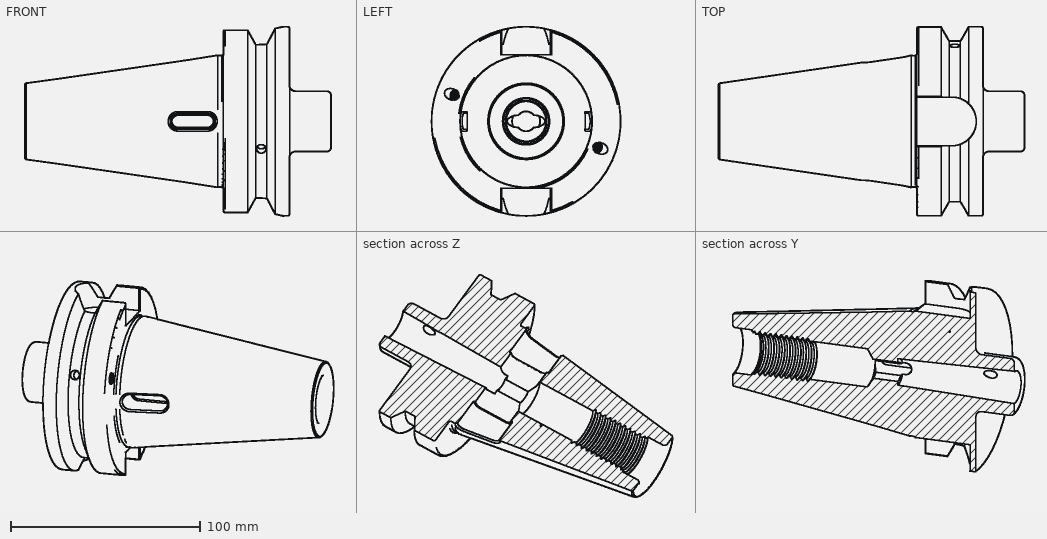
import cadquery as cq
import math


TOTAL_LENGTH = 161.8
TAPER_LENGTH = 101.8
TAPER_RATIO = 7 / 24
TAPER_BIG_RADIUS = 35.0
TAPER_SMALL_RADIUS = TAPER_BIG_RADIUS - TAPER_LENGTH * TAPER_RATIO / 2
SMALL_END_CHAMFER = 0.6
NECK_RADIUS = 34.8
NECK_CHAMFER_LENGTH = 1.0
NECK_FILLET = 1.0

FLANGE_START = 104.8
FLANGE_END = 139.8
FLANGE_RADIUS = 50.0
FLANGE_EDGE_FILLET = 1.0
GROOVE_CENTER = 124.9
GROOVE_BOTTOM_RADIUS = 42.5
GROOVE_TOP_HALF_WIDTH = 7.3
GROOVE_SIDE_ANGLE = 30
GROOVE_BOTTOM_HALF_WIDTH = GROOVE_TOP_HALF_WIDTH - (
    (FLANGE_RADIUS - GROOVE_BOTTOM_RADIUS) * math.tan(math.radians(GROOVE_SIDE_ANGLE))
)

NOSE_RADIUS = 16.0
NOSE_ROOT_FILLET = 3.0
NOSE_END_FILLET = 2.5

KEYWAY_WIDTH = 25.7
KEYWAY_FLOOR = 35.3
KEYWAY_END = 136.2
KEYWAY_EDGE_CHAMFER = 0.6

PILOT_RADIUS = 12.5
PILOT_DEPTH = 11.0
PILOT_MOUTH_FILLET = 2.0
THREAD_MAJOR_RADIUS = 12.0
THREAD_MINOR_RADIUS = 10.5
THREAD_PITCH = 3.0
THREAD_END = 45.0
THREAD_BORE_DEPTH = 77.3
LINK_HOLE_RADIUS = 5.2

SOCKET_MOUTH_RADIUS = 8.9
SOCKET_DEPTH = 67.0
SOCKET_TAPER_RATIO = 1 / 20
SOCKET_BOTTOM_RADIUS = SOCKET_MOUTH_RADIUS - SOCKET_DEPTH * SOCKET_TAPER_RATIO / 2

SLOT_START = 77.7
SLOT_END = 99.7
SLOT_WIDTH = 6.5
SLOT_RECESS_MARGIN = 1.0
SLOT_RECESS_FLOOR = 17.8
SLOT_EDGE_CHAMFER = 1.0

COOLANT_AZIMUTH = 20
COOLANT_INLET_RADIUS = 41.9
COOLANT_TILT = 40
COOLANT_ENTRY_RADIUS = 2.9
COOLANT_ENTRY_DEPTH = 2.6
COOLANT_THREAD_MINOR_RADIUS = 2.5
COOLANT_THREAD_PITCH = 1.0
COOLANT_THREAD_END = 13.0

GROOVE_HOLE_RADIUS = 2.5
GROOVE_HOLE_DEPTH = 6.6

DRILL_TIP_ANGLE = 118
THREAD_ANGLE = 60

CLEARANCE = 8.1


def revolve_about_x(profile):
    return profile.close().revolve(360, (0, 0, 0), (1, 0, 0))


def turned_body():
    arc = math.sqrt(0.5)
    nose_root_mid = NOSE_ROOT_FILLET * (1 - arc)
    nose_end_mid = NOSE_END_FILLET * (1 - arc)
    flange_edge_mid = FLANGE_EDGE_FILLET * (1 - arc)
    neck_mid = NECK_FILLET * (1 - arc)
    profile = (
        cq.Workplane("XY")
        .lineTo(0, TAPER_SMALL_RADIUS - SMALL_END_CHAMFER)
        .lineTo(SMALL_END_CHAMFER, TAPER_SMALL_RADIUS + SMALL_END_CHAMFER * TAPER_RATIO / 2)
        .lineTo(TAPER_LENGTH, TAPER_BIG_RADIUS)
        .lineTo(TAPER_LENGTH + NECK_CHAMFER_LENGTH, NECK_RADIUS)
        .lineTo(FLANGE_START - NECK_FILLET, NECK_RADIUS)
        .threePointArc(
            (FLANGE_START - neck_mid, NECK_RADIUS + neck_mid),
            (FLANGE_START, NECK_RADIUS + NECK_FILLET),
        )
        .lineTo(FLANGE_START, FLANGE_RADIUS - FLANGE_EDGE_FILLET)
        .threePointArc(
            (FLANGE_START + flange_edge_mid, FLANGE_RADIUS - flange_edge_mid),
            (FLANGE_START + FLANGE_EDGE_FILLET, FLANGE_RADIUS),
        )
        .lineTo(GROOVE_CENTER - GROOVE_TOP_HALF_WIDTH, FLANGE_RADIUS)
        .lineTo(GROOVE_CENTER - GROOVE_BOTTOM_HALF_WIDTH, GROOVE_BOTTOM_RADIUS)
        .lineTo(GROOVE_CENTER + GROOVE_BOTTOM_HALF_WIDTH, GROOVE_BOTTOM_RADIUS)
        .lineTo(GROOVE_CENTER + GROOVE_TOP_HALF_WIDTH, FLANGE_RADIUS)
        .lineTo(FLANGE_END - FLANGE_EDGE_FILLET, FLANGE_RADIUS)
        .threePointArc(
            (FLANGE_END - flange_edge_mid, FLANGE_RADIUS - flange_edge_mid),
            (FLANGE_END, FLANGE_RADIUS - FLANGE_EDGE_FILLET),
        )
        .lineTo(FLANGE_END, NOSE_RADIUS + NOSE_ROOT_FILLET)
        .threePointArc(
            (FLANGE_END + nose_root_mid, NOSE_RADIUS + nose_root_mid),
            (FLANGE_END + NOSE_ROOT_FILLET, NOSE_RADIUS),
        )
        .lineTo(TOTAL_LENGTH - NOSE_END_FILLET, NOSE_RADIUS)
        .threePointArc(
            (TOTAL_LENGTH - nose_end_mid, NOSE_RADIUS - nose_end_mid),
            (TOTAL_LENGTH, NOSE_RADIUS - NOSE_END_FILLET),
        )
        .lineTo(TOTAL_LENGTH, 0)
    )
    return revolve_about_x(profile)


def axial_bores():
    mouth_mid = PILOT_MOUTH_FILLET * (1 - math.sqrt(0.5))
    tip_slope = math.tan(math.radians(DRILL_TIP_ANGLE / 2))
    tip_end = THREAD_BORE_DEPTH + (THREAD_MINOR_RADIUS - LINK_HOLE_RADIUS) / tip_slope
    profile = (
        cq.Workplane("XY")
        .lineTo(0, PILOT_RADIUS + PILOT_MOUTH_FILLET)
        .threePointArc((mouth_mid, PILOT_RADIUS + mouth_mid), (PILOT_MOUTH_FILLET, PILOT_RADIUS))
        .lineTo(PILOT_DEPTH, PILOT_RADIUS)
        .lineTo(PILOT_DEPTH, THREAD_MAJOR_RADIUS)
        .lineTo(PILOT_DEPTH + THREAD_MAJOR_RADIUS - THREAD_MINOR_RADIUS, THREAD_MINOR_RADIUS)
        .lineTo(THREAD_BORE_DEPTH, THREAD_MINOR_RADIUS)
        .lineTo(tip_end, LINK_HOLE_RADIUS)
        .lineTo(TOTAL_LENGTH - SOCKET_DEPTH, LINK_HOLE_RADIUS)
        .lineTo(TOTAL_LENGTH - SOCKET_DEPTH, SOCKET_BOTTOM_RADIUS)
        .lineTo(TOTAL_LENGTH, SOCKET_MOUTH_RADIUS)
        .lineTo(TOTAL_LENGTH, 0)
    )
    return revolve_about_x(profile)


def keyway(side):
    """Round-ended keyway, open at the taper side of the flange; side is +1 or -1 along Z."""
    half_width = KEYWAY_WIDTH / 2
    depth = FLANGE_RADIUS + CLEARANCE - KEYWAY_FLOOR
    start = FLANGE_START - CLEARANCE
    floor = cq.Workplane("XY").workplane(offset=side * KEYWAY_FLOOR)
    channel = (
        floor.moveTo(start, -half_width)
        .lineTo(KEYWAY_END - half_width, -half_width)
        .threePointArc((KEYWAY_END, 0), (KEYWAY_END - half_width, half_width))
        .lineTo(start, half_width)
        .close()
        .extrude(side * depth)
    )
    wide = half_width + KEYWAY_EDGE_CHAMFER
    mouth_bevel = (
        floor.moveTo(FLANGE_START, -wide)
        .lineTo(FLANGE_START + KEYWAY_EDGE_CHAMFER, -half_width)
        .lineTo(FLANGE_START + KEYWAY_EDGE_CHAMFER, half_width)
        .lineTo(FLANGE_START, wide)
        .close()
        .extrude(side * depth)
    )
    corner_height = math.sqrt(FLANGE_RADIUS**2 - half_width**2)
    bevel_bottom = side * (corner_height - KEYWAY_EDGE_CHAMFER)
    bevel_top = side * corner_height
    rim_bevel = (
        cq.Workplane("YZ", origin=(FLANGE_START, 0, 0))
        .moveTo(-half_width, bevel_bottom)
        .lineTo(-wide, bevel_top)
        .lineTo(wide, bevel_top)
        .lineTo(half_width, bevel_bottom)
        .close()
        .extrude(GROOVE_CENTER - FLANGE_START)
    )
    return channel.union(mouth_bevel).union(rim_bevel)


def slot_prism(margin, near, far):
    """Slot enlarged by margin all round, running along Y from near to far."""
    return (
        cq.Workplane("XZ", origin=((SLOT_START + SLOT_END) / 2, near, 0))
        .slot2D(SLOT_END - SLOT_START + 2 * margin, SLOT_WIDTH + 2 * margin)
        .extrude(near - far)
    )


def cut_ejector_slot(body):
    reach = TAPER_BIG_RADIUS + CLEARANCE
    slotted = body.cut(slot_prism(0, -reach, reach))
    for side in (-1, 1):
        slotted = slotted.cut(slot_prism(SLOT_RECESS_MARGIN, side * SLOT_RECESS_FLOOR, side * reach))
        rim = cq.selectors.BoxSelector(
            (SLOT_START - CLEARANCE, side * TAPER_SMALL_RADIUS, -SLOT_WIDTH),
            (TAPER_LENGTH, side * reach, SLOT_WIDTH),
        )
        slotted = slotted.edges(rim).chamfer(SLOT_EDGE_CHAMFER)
    return slotted


def thread_rings(start, end, minor_radius, major_radius, pitch):
    """Row of V rings around the X axis that stand in for a thread."""
    half_width = (major_radius - minor_radius) * math.tan(math.radians(THREAD_ANGLE / 2))
    rings = cq.Workplane("XY")
    for index in range(int((end - start) / pitch)):
        center = start + (index + 0.5) * pitch
        ring = (
            cq.Workplane("XY")
            .moveTo(center - half_width, 0)
            .lineTo(center - half_width, minor_radius)
            .lineTo(center, major_radius)
            .lineTo(center + half_width, minor_radius)
            .lineTo(center + half_width, 0)
        )
        rings = rings.add(revolve_about_x(ring))
    return rings.combine()


def coolant_hole():
    """Threaded hole tilted from the flange face down into the socket."""
    length = (COOLANT_INLET_RADIUS - SOCKET_BOTTOM_RADIUS / 2) / math.sin(math.radians(COOLANT_TILT))
    profile = (
        cq.Workplane("XY")
        .moveTo(-CLEARANCE, 0)
        .lineTo(-CLEARANCE, COOLANT_ENTRY_RADIUS)
        .lineTo(COOLANT_ENTRY_DEPTH, COOLANT_ENTRY_RADIUS)
        .lineTo(COOLANT_ENTRY_DEPTH, COOLANT_THREAD_MINOR_RADIUS)
        .lineTo(length, COOLANT_THREAD_MINOR_RADIUS)
        .lineTo(length, 0)
    )
    thread = thread_rings(
        COOLANT_ENTRY_DEPTH,
        COOLANT_THREAD_END,
        COOLANT_THREAD_MINOR_RADIUS,
        COOLANT_ENTRY_RADIUS,
        COOLANT_THREAD_PITCH,
    )
    return (
        revolve_about_x(profile)
        .union(thread)
        .rotate((0, 0, 0), (0, 0, 1), -COOLANT_TILT)
        .translate((FLANGE_START, COOLANT_INLET_RADIUS, 0))
    )


def groove_hole():
    """Blind radial hole with a drill tip."""
    bottom = GROOVE_BOTTOM_RADIUS - GROOVE_HOLE_DEPTH
    tip_length = GROOVE_HOLE_RADIUS / math.tan(math.radians(DRILL_TIP_ANGLE / 2))
    return (
        cq.Workplane("XY")
        .moveTo(GROOVE_CENTER, bottom - tip_length)
        .lineTo(GROOVE_CENTER + GROOVE_HOLE_RADIUS, bottom)
        .lineTo(GROOVE_CENTER + GROOVE_HOLE_RADIUS, FLANGE_RADIUS)
        .lineTo(GROOVE_CENTER, FLANGE_RADIUS)
        .close()
        .revolve(360, (GROOVE_CENTER, 0, 0), (GROOVE_CENTER, 1, 0))
    )


result = turned_body()
for side in (1, -1):
    result = result.cut(keyway(side))
result = cut_ejector_slot(result)
result = result.cut(axial_bores())
result = result.cut(
    thread_rings(PILOT_DEPTH, THREAD_END, THREAD_MINOR_RADIUS, THREAD_MAJOR_RADIUS, THREAD_PITCH)
)
for azimuth in (COOLANT_AZIMUTH, COOLANT_AZIMUTH + 180):
    for hole in (coolant_hole(), groove_hole()):
        result = result.cut(hole.rotate((0, 0, 0), (1, 0, 0), azimuth))
result = cq.Workplane(obj=result.solids().val())